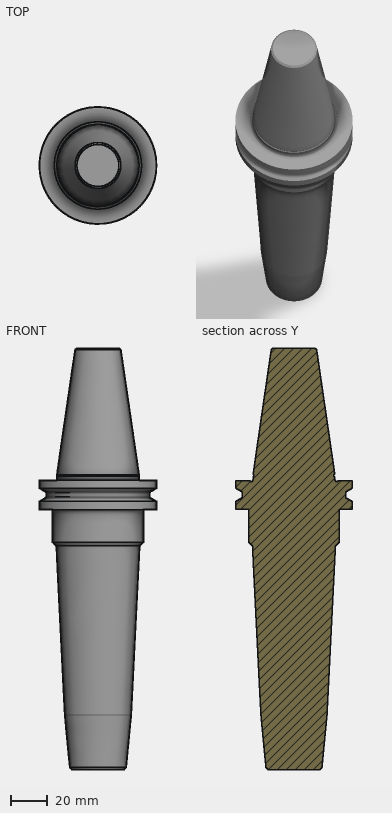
import cadquery as cq
import math

total_length = 228.5
gauge_z = 159.9
flange_top_z = 156.7
flange_bottom_z = 141.0
collar_bottom_z = 123.3
nose_top_z = 30.0

flange_radius = 63.5 / 2
gauge_radius = 22.27
collar_radius = 24.7
shank_top_radius = 22.5
nose_top_radius = 18.0
nose_bottom_radius = 15.3

taper_ratio = 7 / 24
taper_top_radius = gauge_radius - (total_length - gauge_z) * taper_ratio / 2

top_chamfer = 1.0
bottom_chamfer = 1.4
collar_chamfer = collar_radius - shank_top_radius

relief_depth = 0.5
relief_height = 1.0
relief_radius = gauge_radius - relief_depth
relief_bottom_z = gauge_z - relief_height

recess_depth = 0.7
neck_fillet = 1.4
recess_radius = gauge_radius + neck_fillet
recess_floor_z = flange_top_z - recess_depth

groove_z = 149.0
groove_floor_width = 3.0
groove_depth = 3.7
groove_flank_angle = 30
groove_corner_radius = 0.7


def holder_body():
    """Revolve the half profile, from the nose upward, about Z."""
    fillet_sag = neck_fillet * (1 - math.sqrt(0.5))
    outline = (
        cq.Workplane("XZ")
        .lineTo(nose_bottom_radius - bottom_chamfer, 0)
        .lineTo(nose_bottom_radius, bottom_chamfer)
        .lineTo(nose_top_radius, nose_top_z)
        .lineTo(shank_top_radius, collar_bottom_z - collar_chamfer)
        .lineTo(collar_radius, collar_bottom_z)
        .lineTo(collar_radius, flange_bottom_z)
        .lineTo(flange_radius, flange_bottom_z)
        .lineTo(flange_radius, flange_top_z)
        .lineTo(recess_radius, flange_top_z)
        .lineTo(recess_radius, recess_floor_z)
        .threePointArc(
            (gauge_radius + fillet_sag, recess_floor_z + fillet_sag),
            (gauge_radius, recess_floor_z + neck_fillet),
        )
        .lineTo(gauge_radius, relief_bottom_z)
        .lineTo(relief_radius, relief_bottom_z)
        .lineTo(relief_radius, gauge_z)
        .lineTo(gauge_radius, gauge_z)
        .lineTo(taper_top_radius, total_length)
        .lineTo(0, total_length)
        .close()
    )
    body = outline.revolve(360, (0, 0), (0, 1))
    return body.faces(">Z").edges().chamfer(top_chamfer)


def gripper_groove():
    """Ring-shaped cutter for the groove in the flange rim."""
    floor_radius = flange_radius - groove_depth
    half_floor = groove_floor_width / 2
    half_mouth = half_floor + groove_depth * math.tan(math.radians(groove_flank_angle))
    profile = [
        (floor_radius, groove_z - half_floor),
        (flange_radius, groove_z - half_mouth),
        (flange_radius, groove_z + half_mouth),
        (floor_radius, groove_z + half_floor),
    ]
    ring = cq.Workplane("XZ").polyline(profile).close().revolve(360, (0, 0), (0, 1))
    floor_edges = cq.selectors.RadiusNthSelector(0)
    return ring.edges("%CIRCLE").edges(floor_edges).fillet(groove_corner_radius)


result = holder_body().cut(gripper_groove())